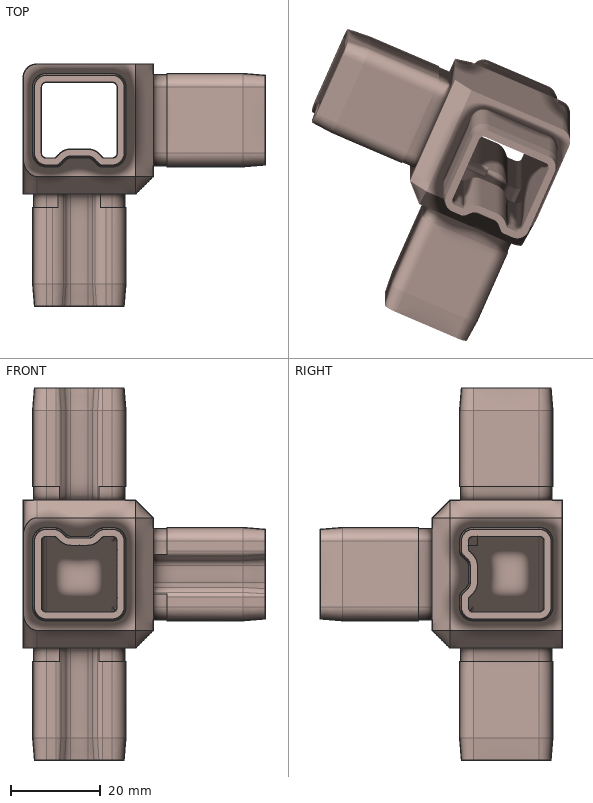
import cadquery as cq
import math

arm_reach = 41.5
arm_length = 25.0
plain_face = 12.5
body_chamfer = 4.0
body_radius = 3.1
arm_face = arm_reach - arm_length

arm_width = 20.8
neck_width = 20.4
tip_width = 20.0
bore_width = 16.85
arm_corner_radius = 3.1
neck_length = 3.0
tip_length = 5.0

groove_floor_half = 1.9
groove_depth = 2.0
groove_radius = 1.5
narrow_rim_radius = 1.5
wide_rim_radius = 3.4
flank_angle = math.radians(45)

X_POS = cq.Vector(1, 0, 0)
Y_NEG = cq.Vector(0, -1, 0)
Z_POS = cq.Vector(0, 0, 1)
Z_NEG = cq.Vector(0, 0, -1)

arms = [
    (Z_POS, Y_NEG, narrow_rim_radius),
    (Z_NEG, Y_NEG, narrow_rim_radius),
    (X_POS, Y_NEG, narrow_rim_radius),
    (Y_NEG, Z_POS, wide_rim_radius),
]


def arm_plane(outward, groove_side, distance):
    """Plane across an arm whose local -y points to the groove side."""
    return cq.Plane(
        origin=(outward * distance).toTuple(),
        xDir=(groove_side * -1).cross(outward).toTuple(),
        normal=outward.toTuple(),
    )


def arc_offsets(radius, angle):
    """Run along and drop away from the tangent line after turning through the angle."""
    return radius * math.sin(angle), radius * (1 - math.cos(angle))


def arm_outline(plane, rim_radius):
    """Rounded square with the groove in its lower side."""
    half = arm_width / 2
    straight = half - arm_corner_radius
    corner_mid = straight + arm_corner_radius * math.cos(math.pi / 4)

    floor_run, floor_drop = arc_offsets(groove_radius, flank_angle)
    floor_mid_run, floor_mid_drop = arc_offsets(groove_radius, flank_angle / 2)
    rim_run, rim_drop = arc_offsets(rim_radius, flank_angle)
    rim_mid_run, rim_mid_drop = arc_offsets(rim_radius, flank_angle / 2)
    flank_run = (groove_depth - floor_drop - rim_drop) / math.tan(flank_angle)

    floor = groove_depth - half
    floor_mid = (groove_floor_half + floor_mid_run, floor - floor_mid_drop)
    flank_inner = (groove_floor_half + floor_run, floor - floor_drop)
    flank_outer = (flank_inner[0] + flank_run, rim_drop - half)
    groove_edge = (flank_outer[0] + rim_run, -half)
    rim_mid = (groove_edge[0] - rim_mid_run, rim_mid_drop - half)
    return (
        cq.Workplane(plane)
        .moveTo(0, floor)
        .lineTo(groove_floor_half, floor)
        .threePointArc(floor_mid, flank_inner)
        .lineTo(*flank_outer)
        .threePointArc(rim_mid, groove_edge)
        .lineTo(straight, -half)
        .threePointArc((corner_mid, -corner_mid), (half, -straight))
        .lineTo(half, straight)
        .threePointArc((corner_mid, corner_mid), (straight, half))
        .lineTo(0, half)
        .mirrorY()
    )


def bevel_tool(plane, across, up):
    """Right-angled prism along one edge of the body."""
    return (
        cq.Workplane(plane)
        .moveTo(across * arm_face, up * arm_face)
        .line(-across * body_chamfer, 0)
        .line(across * body_chamfer, -up * body_chamfer)
        .close()
        .extrude(arm_reach, both=True)
    )


def corner_wedge(point, ends):
    """Tetrahedron on a corner point and three end points."""
    corners = [point] + ends
    faces = []
    for skipped in corners:
        triangle = [corner for corner in corners if corner is not skipped]
        faces.append(cq.Face.makeFromWires(cq.Wire.makePolygon(triangle, close=True)))
    return cq.Workplane(cq.Solid.makeSolid(cq.Shell.makeShell(faces)))


def make_body():
    size = plain_face + arm_face
    middle = (arm_face - plain_face) / 2
    body = cq.Workplane("XY").box(size, size, 2 * arm_face).translate((middle, -middle, 0))

    for up in (1, -1):
        body = body.cut(bevel_tool("XZ", 1, up))
        body = body.cut(bevel_tool("YZ", -1, up))
    body = body.cut(bevel_tool("XY", 1, -1))

    for up in (1, -1):
        point = cq.Vector(arm_face, -arm_face, up * arm_face)
        along = [cq.Vector(-1, 0, 0), cq.Vector(0, 1, 0), cq.Vector(0, 0, -up)]
        body = body.cut(corner_wedge(point, [point + step * (2 * body_chamfer) for step in along]))

    body = body.edges("|Z and <X and >Y").fillet(body_radius)
    bevel_middle = arm_face - body_chamfer / 2
    for up in (1, -1):
        edge = cq.selectors.NearestToPointSelector((-plain_face, -bevel_middle, up * bevel_middle))
        body = body.edges(edge).fillet(body_radius)
    return body


def make_arm(outward, groove_side, rim_radius):
    """Solid arm that starts at the body face."""
    neck_plane = arm_plane(outward, groove_side, arm_face)
    shank_plane = arm_plane(outward, groove_side, arm_face + neck_length)
    tip_plane = arm_plane(outward, groove_side, arm_reach - tip_length)

    neck_radius = arm_corner_radius - (arm_width - neck_width) / 2
    neck_square = cq.Sketch().rect(neck_width, neck_width).vertices().fillet(neck_radius)
    neck_limit = cq.Workplane(neck_plane).placeSketch(neck_square).extrude(neck_length)
    neck = arm_outline(neck_plane, rim_radius).extrude(neck_length).intersect(neck_limit)

    shank_length = arm_length - neck_length - tip_length
    shank = arm_outline(shank_plane, rim_radius).extrude(shank_length)

    taper_angle = math.degrees(math.atan((arm_width - tip_width) / 2 / tip_length))
    tip = arm_outline(tip_plane, rim_radius).extrude(tip_length, taper=taper_angle)
    return neck.union(shank).union(tip)


def make_bore(outward, groove_side, rim_radius):
    """Hollow of an arm, running from the centre of the body to the open end."""
    outline = arm_outline(arm_plane(outward, groove_side, 0), rim_radius)
    wall = (arm_width - bore_width) / 2
    return outline.offset2D(-wall, "intersection").extrude(arm_reach)


result = make_body()
for arm in arms:
    result = result.union(make_arm(*arm))
for arm in arms:
    result = result.cut(make_bore(*arm))